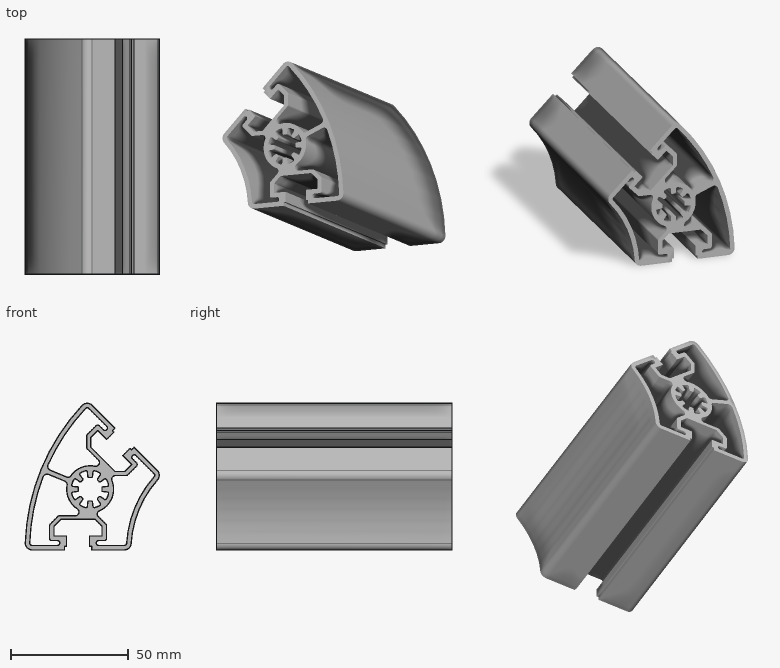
import cadquery as cq
import math

length = 100.0
sector_angle = 45.0
inner_radius = 45.0
outer_radius = 90.0
corner_radius = 3.0
wall = 2.0

mid_radius = (inner_radius + outer_radius) / 2
half_angle = math.radians(sector_angle / 2)
hub_x = -mid_radius * math.cos(half_angle)
hub_z = mid_radius * math.sin(half_angle)
hub_radius = 10.0
bore_radius = 8.0
tooth_tip_radius = 4.95
tooth_tip_round = 0.5
tooth_root_round = 0.55
straight_tooth_tip_half_width = 1.0
straight_tooth_root_half_width = 1.5
diagonal_tooth_half_angle = math.radians(9.8)

slot_x = -mid_radius
mouth_half_width = 5.75
mouth_depth = 1.6
lip_half_width = 4.85
lip_depth = 6.0
channel_half_width = 10.15
channel_bevel_start = 10.1
channel_floor_half_width = 7.2
channel_depth = channel_bevel_start + channel_half_width - channel_floor_half_width

lip_root_half_width = 7.8
lip_underside = 4.0
slot_wall_half_width = channel_half_width + wall
slot_wall_bevel_start = 10.7
slot_wall_top = 14.6
slot_wall_top_half_width = slot_wall_half_width - (slot_wall_top - slot_wall_bevel_start)
neck_offset = 4.8
neck_x = hub_x - neck_offset
bevel_end = 17.0
bevel_end_half_width = slot_wall_half_width - (bevel_end - slot_wall_bevel_start)

pocket_round = 0.95
hub_junction_round = 1.5
hub_junction_reach = 14.0
web_end_round = 1.8
web_end_reach = 3.0


def extruded(sketch):
    """Extrude a closed sketch over the full length."""
    return sketch.extrude(length)


def profile_plane():
    """Plane of the cross-section, with X to the right and Z up."""
    return cq.Workplane("XZ")


def mirrored(body):
    """Reflect a body across the symmetry plane of the sector."""
    normal = cq.Vector(math.sin(half_angle), 0, math.cos(half_angle))
    return body.mirror(normal)


def distance_to(edge, x, z):
    """Distance of a lengthwise edge from the lengthwise line through (x, z)."""
    centre = edge.Center()
    return math.hypot(centre.x - x, centre.z - z)


def ring_sector(r_in, r_out, inset):
    """Ring sector whose two flat sides are moved inwards by `inset`."""

    def low_point(radius):
        return (-math.sqrt(radius**2 - inset**2), inset)

    def polar_point(radius, angle):
        return (-radius * math.cos(angle), radius * math.sin(angle))

    def high_point(radius):
        return polar_point(radius, 2 * half_angle - math.asin(inset / radius))

    return extruded(
        profile_plane()
        .moveTo(*low_point(r_in))
        .lineTo(*low_point(r_out))
        .threePointArc(polar_point(r_out, half_angle), high_point(r_out))
        .lineTo(*high_point(r_in))
        .threePointArc(polar_point(r_in, half_angle), low_point(r_in))
        .close()
    )


def slot():
    """T-slot through the lower face, from the mouth up to the channel floor."""
    half = [
        (mouth_half_width, 0),
        (mouth_half_width, mouth_depth),
        (lip_half_width, mouth_depth),
        (lip_half_width, lip_depth),
        (channel_half_width, lip_depth),
        (channel_half_width, channel_bevel_start),
        (channel_floor_half_width, channel_depth),
    ]
    right = [(slot_x + u, z) for u, z in half]
    left = [(slot_x - u, z) for u, z in reversed(half)]
    return extruded(profile_plane().polyline(right + left).close())


def slot_surround():
    """Material that encloses the lower slot and joins it to the hub."""
    outline = [
        (slot_x - lip_root_half_width, 0),
        (slot_x - lip_root_half_width, lip_underside),
        (slot_x - slot_wall_half_width, lip_underside),
        (slot_x - slot_wall_half_width, slot_wall_bevel_start),
        (slot_x - slot_wall_top_half_width, slot_wall_top),
        (neck_x, slot_wall_top),
        (neck_x, hub_z),
        (hub_x, hub_z),
        (slot_x + bevel_end_half_width, bevel_end),
        (slot_x + slot_wall_half_width, slot_wall_bevel_start),
        (slot_x + slot_wall_half_width, lip_underside),
        (slot_x + lip_root_half_width, lip_underside),
        (slot_x + lip_root_half_width, 0),
    ]
    return extruded(profile_plane().polyline(outline).close())


def hub():
    """Solid cylinder around the bore."""
    return extruded(profile_plane().center(hub_x, hub_z).circle(hub_radius))


def web():
    """Radial wall from the hub to the outer arc, along the symmetry line."""
    web_length = outer_radius - mid_radius
    bar = extruded(profile_plane().center(-mid_radius - web_length / 2, 0).rect(web_length, wall))
    return bar.rotate((0, 0, 0), (0, 1, 0), math.degrees(half_angle))


def pockets():
    """The three closed hollows between the outer wall, the slots and the hub."""
    cavity = ring_sector(inner_radius + wall, outer_radius - wall, wall)
    surround = slot_surround()
    hollows = cavity.cut(hub()).cut(web()).cut(surround).cut(mirrored(surround))
    wall_radius = outer_radius - wall
    web_end_x = -wall_radius * math.cos(half_angle)
    web_end_z = wall_radius * math.sin(half_angle)

    def at_hub(edge):
        return distance_to(edge, hub_x, hub_z) < hub_junction_reach

    def at_web_end(edge):
        return distance_to(edge, web_end_x, web_end_z) < web_end_reach

    def elsewhere(edge):
        return not at_hub(edge) and not at_web_end(edge)

    hollows = hollows.edges("|Y").filter(elsewhere).fillet(pocket_round)
    hollows = hollows.edges("|Y").filter(at_hub).fillet(hub_junction_round)
    return hollows.edges("|Y").filter(at_web_end).fillet(web_end_round)


def tooth(tip_half_width, root_half_width, angle):
    """Tooth that points from the hub wall towards the bore axis."""
    outline = [
        (tooth_tip_radius, -tip_half_width),
        (hub_radius, -root_half_width),
        (hub_radius, root_half_width),
        (tooth_tip_radius, tip_half_width),
    ]
    blank = extruded(profile_plane().polyline(outline).close())
    rounded = blank.edges("|Y").edges("<X").fillet(tooth_tip_round)
    return rounded.rotate((0, 0, 0), (0, 1, 0), angle)


def bore():
    """Toothed bore: straight teeth on the axes, wedge teeth on the diagonals."""
    wedge = math.tan(diagonal_tooth_half_angle)
    void = extruded(profile_plane().circle(bore_radius))
    for quarter in range(4):
        angle = 90 * quarter
        void = void.cut(tooth(straight_tooth_tip_half_width, straight_tooth_root_half_width, angle))
        void = void.cut(tooth(tooth_tip_radius * wedge, hub_radius * wedge, angle + 45))

    def at_root(edge):
        return abs(distance_to(edge, 0, 0) - bore_radius) < tooth_root_round

    void = void.edges("|Y").filter(at_root).fillet(tooth_root_round)
    return void.translate((hub_x, 0, hub_z))


profile = ring_sector(inner_radius, outer_radius, 0).edges("|Y").fillet(corner_radius)
lower_slot = slot()
result = profile.cut(pockets()).cut(lower_slot).cut(mirrored(lower_slot)).cut(bore())